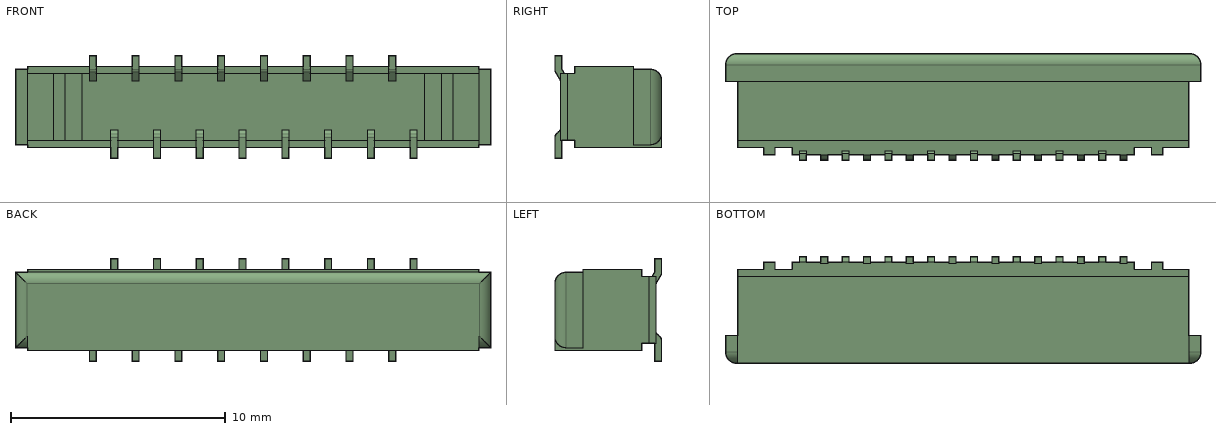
import cadquery as cq
import math


flange_width = 22.2
flange_height = 3.53
flange_depth = 1.3
flange_edge_radius = 0.53

body_width = 21.07
body_height = 3.8
body_depth = 4.06

step_height = 3.13
step_depth = 4.4
pad_depth = 4.73
pad_width = 15.98
rib_width = 0.53
rib_spacing = 18.12

pins_per_row = 8
pin_pitch = 2.0
row_offset = pin_pitch / 4
pin_width = 0.33
pin_thickness = 0.33
pin_bend_radius = 0.25
pin_front_depth = 5.0
pin_tip_height = 2.4
pin_embedding = 0.13
upper_bend_angle = 30.0
upper_root_height = 1.22
lower_bend_angle = 45.0
lower_root_height = 1.07


def block(width, height, start_depth, end_depth, x=0.0):
    """Box centred on Z that reaches from start_depth to end_depth."""
    middle_depth = (start_depth + end_depth) / 2
    return cq.Workplane("XY").box(width, end_depth - start_depth, height).translate((x, -middle_depth, 0))


def make_flange():
    flange = block(flange_width, flange_height, 0, flange_depth)
    return flange.faces(">Y").edges().fillet(flange_edge_radius)


def make_bottom_wall():
    """Wall that carries the underside of the body back to the rear face."""
    bottom = -body_height / 2
    top = -flange_height / 2 + flange_edge_radius
    wall = cq.Workplane("XY").box(body_width, flange_depth, top - bottom)
    return wall.translate((0, -flange_depth / 2, (top + bottom) / 2))


def make_body():
    body = block(body_width, body_height, flange_depth, body_depth)
    body = body.union(block(body_width, step_height, body_depth, step_depth))
    body = body.union(block(pad_width, step_height, step_depth, pad_depth))
    for side in (-1, 1):
        body = body.union(block(rib_width, step_height, step_depth, pad_depth, side * rib_spacing / 2))
    return body


def make_pin(bend_angle, root_height):
    """Upward pin at X = 0: a vertical leg whose lower end slants back into the pad.

    The outer face of the slant meets the pad at root_height; the bend is rounded on the outside.
    """
    angle = math.radians(bend_angle)
    front = -pin_front_depth
    back = front + pin_thickness
    outer_knee_z = root_height + (pin_front_depth - pad_depth) / math.tan(angle)
    inner_knee_z = outer_knee_z + pin_thickness * math.tan(angle / 2)

    end_y = back + pin_embedding
    outer_end_z = outer_knee_z - (end_y - front) / math.tan(angle)
    inner_end_z = inner_knee_z - (end_y - back) / math.tan(angle)

    tangent = pin_bend_radius * math.tan(angle / 2)
    arc_start = (front, outer_knee_z + tangent)
    arc_end = (front + tangent * math.sin(angle), outer_knee_z - tangent * math.cos(angle))
    arc_middle = (
        front + pin_bend_radius * (1 - math.cos(angle / 2)),
        arc_start[1] - pin_bend_radius * math.sin(angle / 2),
    )

    return (
        cq.Workplane("YZ")
        .moveTo(front, pin_tip_height)
        .lineTo(*arc_start)
        .threePointArc(arc_middle, arc_end)
        .lineTo(end_y, outer_end_z)
        .lineTo(end_y, inner_end_z)
        .lineTo(back, inner_knee_z)
        .lineTo(back, pin_tip_height)
        .close()
        .extrude(pin_width / 2, both=True)
    )


def add_pin_row(part, pin, row_center):
    for index in range(pins_per_row):
        x = row_center + (index - (pins_per_row - 1) / 2) * pin_pitch
        part = part.union(pin.translate((x, 0, 0)))
    return part


upper_pin = make_pin(upper_bend_angle, upper_root_height)
lower_pin = make_pin(lower_bend_angle, lower_root_height).mirror("XY")

result = make_flange().union(make_bottom_wall()).union(make_body())
result = add_pin_row(result, upper_pin, -row_offset)
result = add_pin_row(result, lower_pin, row_offset)